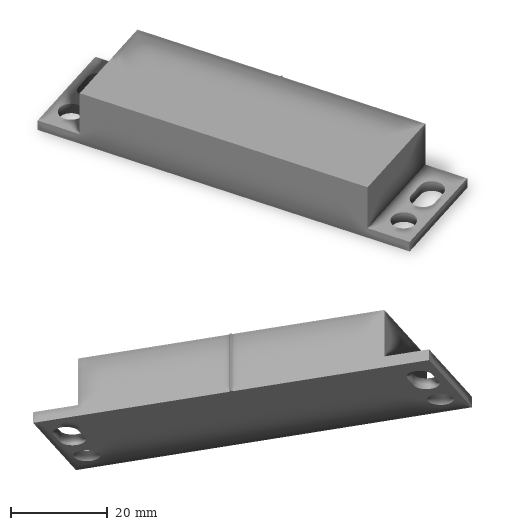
import cadquery as cq

length = 87.5
depth = 24.9
height = 13.0
tab_length = 9.9
tab_thickness = 2.45

hole_diameter = 5.5
hole_end_distance = 4.6
round_hole_y = 5.95
slot_y = 16.2
slot_length = 9.3

rib_projection = 0.5
rib_width = 0.7


def make_body():
    """Raised block standing on a thin base that extends as a tab at each end."""
    base = cq.Workplane("XY").box(length, depth, tab_thickness, centered=(True, False, False))
    block_length = length - 2 * tab_length
    block = cq.Workplane("XY").box(block_length, depth, height, centered=(True, False, False))
    return base.union(block)


def make_rib():
    """Full-height rib, rooted in the back face and pointing toward +Y."""
    half_width = rib_width / 2
    outline = [(-half_width, depth), (half_width, depth), (0, depth + rib_projection)]
    return cq.Workplane("XY").polyline(outline).close().extrude(height)


def make_tab_openings(x):
    """Round hole and lengthwise-Y slot through one tab."""
    hole = cq.Workplane("XY").center(x, round_hole_y).circle(hole_diameter / 2).extrude(tab_thickness)
    slot = cq.Workplane("XY").center(x, slot_y).slot2D(slot_length, hole_diameter, 90).extrude(tab_thickness)
    return hole.union(slot)


result = make_body().union(make_rib())
for side in (-1, 1):
    result = result.cut(make_tab_openings(side * (length / 2 - hole_end_distance)))